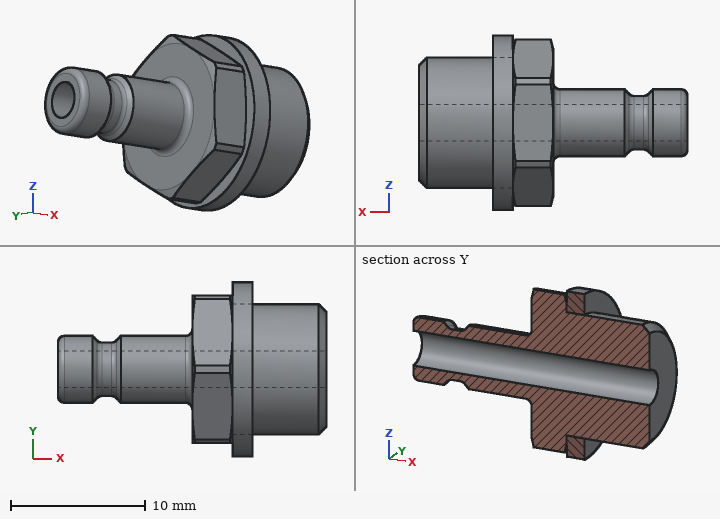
import cadquery as cq
import math

groove_start = 2.55
groove_end = 4.7
hex_start = 10.0
washer_start = 13.0
washer_end = 14.5
total_length = 20.0

bore_radius = 2.7 / 2
groove_radius = 4.0 / 2
spigot_radius = 5.0 / 2
thread_radius = 9.72 / 2
washer_radius = 13.0 / 2

across_flats = 11.0
hex_corner_radius = 12.4 / 2
hex_chamfer_angle = 15.0

blend_radius = 0.5
thread_chamfer = 0.6


def cylinder(radius, start, end):
    """Solid cylinder about X between two positions."""
    return cq.Workplane("YZ", origin=(start, 0, 0)).circle(radius).extrude(end - start)


def make_spigot():
    """Plug end: rounded tip, locking groove and a concave blend into the hexagon face."""
    half_right = math.radians(45)
    arc_run = blend_radius * math.sin(half_right)
    arc_rise = blend_radius * (1 - math.cos(half_right))
    wall_depth = spigot_radius - groove_radius - arc_rise
    wall_foot_radius = groove_radius + arc_rise
    left_foot = groove_start + wall_depth
    right_foot = groove_end - wall_depth
    profile = (
        cq.Workplane("XY")
        .lineTo(0, spigot_radius - blend_radius)
        .tangentArcPoint((blend_radius, spigot_radius), relative=False)
        .lineTo(groove_start, spigot_radius)
        .lineTo(left_foot, wall_foot_radius)
        .tangentArcPoint((left_foot + arc_run, groove_radius), relative=False)
        .lineTo(right_foot - arc_run, groove_radius)
        .tangentArcPoint((right_foot, wall_foot_radius), relative=False)
        .lineTo(groove_end, spigot_radius)
        .lineTo(hex_start - blend_radius, spigot_radius)
        .tangentArcPoint((hex_start, spigot_radius + blend_radius), relative=False)
        .lineTo(hex_start, 0)
        .close()
    )
    return profile.revolve(360, (0, 0, 0), (1, 0, 0))


def make_hexagon():
    """Hexagon with corners up and down, turned to a corner radius and chamfered at both ends."""
    flat_radius = across_flats / 2
    chamfer_run = (hex_corner_radius - flat_radius) * math.tan(math.radians(hex_chamfer_angle))
    prism = (
        cq.Workplane("YZ", origin=(hex_start, 0, 0))
        .polygon(6, across_flats, circumscribed=True)
        .extrude(washer_start - hex_start)
    )
    turned_envelope = (
        cq.Workplane("XY")
        .moveTo(hex_start, 0)
        .lineTo(hex_start, flat_radius)
        .lineTo(hex_start + chamfer_run, hex_corner_radius)
        .lineTo(washer_start - chamfer_run, hex_corner_radius)
        .lineTo(washer_start, flat_radius)
        .lineTo(washer_start, 0)
        .close()
        .revolve(360, (0, 0, 0), (1, 0, 0))
    )
    return prism.intersect(turned_envelope)


def make_thread_end():
    """Plain cylinder for the thread, chamfered at its free end."""
    return cylinder(thread_radius, washer_start, total_length).faces(">X").chamfer(thread_chamfer)


def make_fitting():
    """Spigot, hexagon and thread end in one piece, bored through."""
    outside = make_spigot().union(make_hexagon()).union(make_thread_end())
    return outside.cut(cylinder(bore_radius, 0, total_length))


def make_washer():
    """Flat sealing ring seated on the thread end, against the hexagon."""
    disc = cylinder(washer_radius, washer_start, washer_end)
    return disc.cut(cylinder(thread_radius, washer_start, washer_end))


fitting = make_fitting()
washer = make_washer()

result = cq.Compound.makeCompound([fitting.val(), washer.val()])